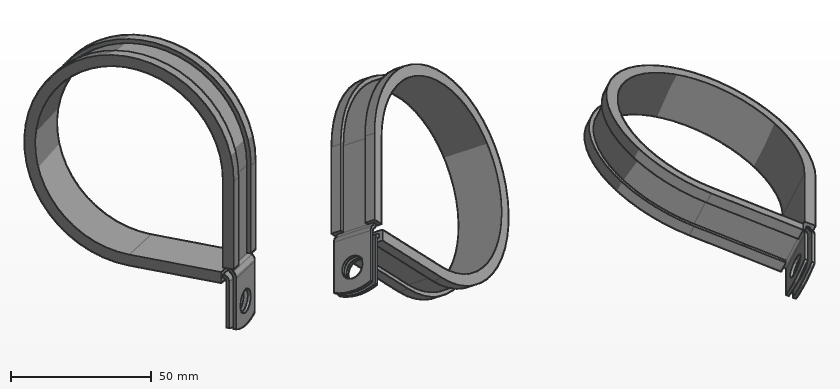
import cadquery as cq
import math

cushion_outer_radius = 40.8
cushion_inner_radius = 36.5
cushion_width = 18.9
vertical_arm_length = 34.6
horizontal_arm_length = 36.0

groove_width = 10.6
groove_depth = 1.6

strap_thickness = 1.2
strap_width = 16.2
strap_outer_radius = cushion_outer_radius - groove_depth
strap_inner_radius = strap_outer_radius - strap_thickness
inner_tab_face = 38.4
outer_tab_face = 41.1
tab_bottom = -60.2
tab_end_rise = 1.7
hole_diameter = 8.9
hole_height = 9.5
jog_length = 3.8
root_overlap = 1.0


def extrude_centred(profile, width):
    """Extrude an XZ profile symmetrically about Y = 0."""
    return profile.extrude(width / 2, both=True)


def loop_band(outer_radius, inner_radius, width):
    """Three-quarter ring that continues as a tangent arm at each end."""
    diagonal = math.sqrt(0.5)
    profile = (
        cq.Workplane("XZ")
        .moveTo(outer_radius, -vertical_arm_length)
        .lineTo(outer_radius, 0)
        .threePointArc((-outer_radius * diagonal, outer_radius * diagonal), (0, -outer_radius))
        .lineTo(horizontal_arm_length, -outer_radius)
        .lineTo(horizontal_arm_length, -inner_radius)
        .lineTo(0, -inner_radius)
        .threePointArc((-inner_radius * diagonal, inner_radius * diagonal), (inner_radius, 0))
        .lineTo(inner_radius, -vertical_arm_length)
        .close()
    )
    return extrude_centred(profile, width)


def inner_leg():
    """Leg that leaves the horizontal arm and turns down through a quarter bend."""
    bend_radius = inner_tab_face - horizontal_arm_length
    inside_radius = bend_radius - strap_thickness
    bend_end = -strap_inner_radius - bend_radius
    root = horizontal_arm_length - root_overlap
    profile = (
        cq.Workplane("XZ")
        .moveTo(root, -strap_inner_radius)
        .lineTo(horizontal_arm_length, -strap_inner_radius)
        .radiusArc((inner_tab_face, bend_end), bend_radius)
        .lineTo(inner_tab_face, tab_bottom)
        .lineTo(inner_tab_face - strap_thickness, tab_bottom)
        .lineTo(inner_tab_face - strap_thickness, bend_end)
        .radiusArc((horizontal_arm_length, -strap_outer_radius), -inside_radius)
        .lineTo(root, -strap_outer_radius)
        .close()
    )
    return extrude_centred(profile, strap_width)


def outer_leg():
    """Leg that leaves the vertical arm and steps outward through an S-bend."""
    offset = outer_tab_face - strap_outer_radius
    mid_radius = (offset**2 + jog_length**2) / (4 * offset)
    large_radius = mid_radius + strap_thickness / 2
    small_radius = mid_radius - strap_thickness / 2
    bend_angle = math.asin(jog_length / (2 * mid_radius))
    root = -vertical_arm_length + root_overlap
    jog_end = -vertical_arm_length - jog_length
    mid_z = -vertical_arm_length - jog_length / 2
    mid_x = (strap_inner_radius + outer_tab_face) / 2
    half_x = strap_thickness / 2 * math.cos(bend_angle)
    half_z = strap_thickness / 2 * math.sin(bend_angle)
    profile = (
        cq.Workplane("XZ")
        .moveTo(strap_outer_radius, root)
        .lineTo(strap_outer_radius, -vertical_arm_length)
        .radiusArc((mid_x + half_x, mid_z + half_z), -small_radius)
        .radiusArc((outer_tab_face, jog_end), large_radius)
        .lineTo(outer_tab_face, tab_bottom)
        .lineTo(outer_tab_face - strap_thickness, tab_bottom)
        .lineTo(outer_tab_face - strap_thickness, jog_end)
        .radiusArc((mid_x - half_x, mid_z - half_z), -small_radius)
        .radiusArc((strap_inner_radius, -vertical_arm_length), large_radius)
        .lineTo(strap_inner_radius, root)
        .close()
    )
    return extrude_centred(profile, strap_width)


def tab_outline():
    """Bar along X whose section is the strap width with a rounded lower end."""
    half_width = strap_width / 2
    return (
        cq.Workplane("YZ")
        .moveTo(-half_width, 0)
        .lineTo(-half_width, tab_bottom + tab_end_rise)
        .threePointArc((0, tab_bottom), (half_width, tab_bottom + tab_end_rise))
        .lineTo(half_width, 0)
        .close()
        .extrude(cushion_outer_radius + groove_depth)
    )


def bolt_hole():
    """Cylinder along X through both tabs."""
    return (
        cq.Workplane("YZ")
        .center(0, tab_bottom + hole_height)
        .circle(hole_diameter / 2)
        .extrude(cushion_outer_radius + groove_depth)
    )


cushion = loop_band(cushion_outer_radius, cushion_inner_radius, cushion_width)
groove = loop_band(cushion_outer_radius, strap_outer_radius, groove_width)
legs = inner_leg().union(outer_leg())
tabs = legs.intersect(tab_outline()).cut(bolt_hole())

result = cushion.cut(groove).union(tabs)